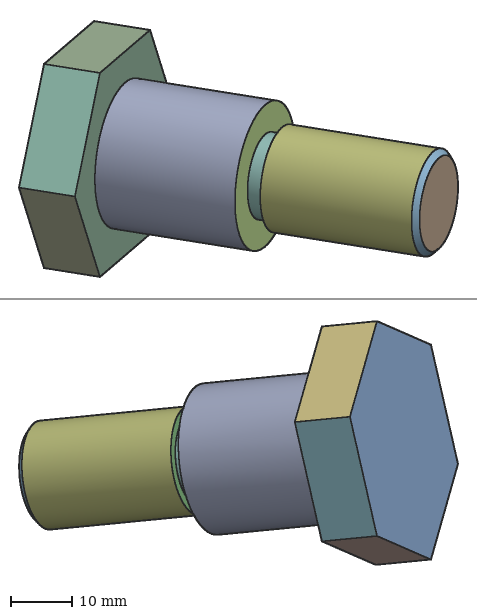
import cadquery as cq
import math

head_across_flats = 36.0
head_sides = 6
head_thickness = 10.0
shoulder_diameter = 25.0
shoulder_length = 25.0
relief_diameter = 14.6
relief_length = 3.0
shank_diameter = 18.0
overall_length = 66.0
tip_chamfer = 1.0

shoulder_end = head_thickness + shoulder_length
relief_end = shoulder_end + relief_length
shank_length = overall_length - relief_end


def cylinder_along_x(start, diameter, length):
    """Solid cylinder on the X axis, running from start towards +X."""
    return cq.Workplane("YZ", origin=(start, 0, 0)).circle(diameter / 2).extrude(length)


def hex_head():
    """Hexagonal prism with corners on the Y axis and flats facing +Z and -Z."""
    across_corners = head_across_flats / math.cos(math.pi / head_sides)
    return cq.Workplane("YZ").polygon(head_sides, across_corners).extrude(head_thickness)


def shank():
    """Plain shank with a chamfered free end."""
    body = cylinder_along_x(relief_end, shank_diameter, shank_length)
    return body.faces(">X").chamfer(tip_chamfer)


shoulder = cylinder_along_x(head_thickness, shoulder_diameter, shoulder_length)
relief = cylinder_along_x(shoulder_end, relief_diameter, relief_length)

result = hex_head().union(shoulder).union(relief).union(shank())